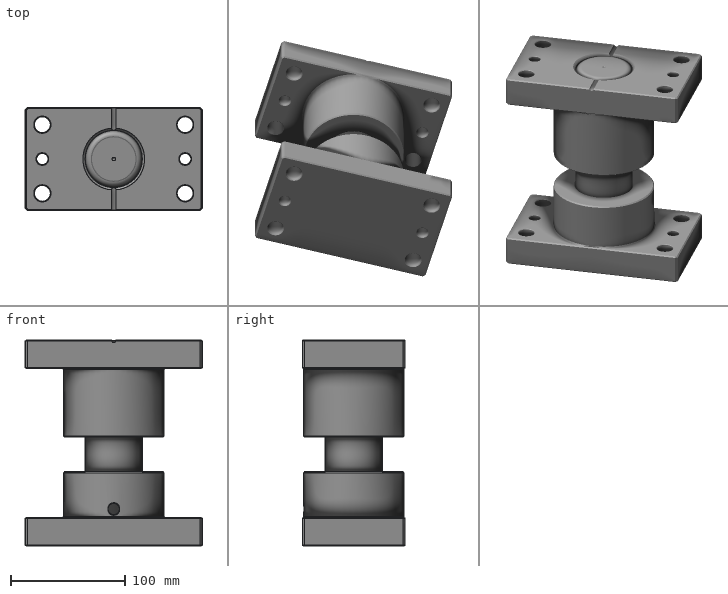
import cadquery as cq
import math

plate_length = 155.0
plate_width = 90.0
plate_thickness = 25.0
corner_chamfer = 2.0
edge_chamfer = 1.0

hole_spacing_x = 125.0
bolt_spacing_y = 60.0
bolt_hole_diameter = 14.0
dowel_hole_diameter = 10.0
hole_chamfer = 0.5

boss_diameter = 88.0
boss_edge_chamfer = 1.0
boss_root_fillet = 1.0
lower_boss_height = 40.0
upper_boss_height = 60.0

total_height = 180.29
upper_plate_bottom = total_height - plate_thickness
upper_boss_bottom = upper_plate_bottom - upper_boss_height
lower_block_top = plate_thickness + lower_boss_height

post_diameter = 50.0
post_height = 180.0
post_top_radius = 5.5
center_mark_diameter = 3.0
center_mark_depth = center_mark_diameter / 2
bore_mouth_chamfer = 1.0
top_mouth_chamfer = 2.0

cross_hole_diameter = 10.0
cross_hole_height = 32.4

groove_width = 4.0


def make_drill(diameter, length, start_chamfer, end_chamfer):
    """Cutter along +Z from the origin, flared at an end to chamfer the hole unless that chamfer is 0."""
    radius = diameter / 2
    drill = cq.Workplane("XY").circle(radius).extrude(length)
    for z, inward, chamfer in ((0, 1, start_chamfer), (length, -1, end_chamfer)):
        if chamfer > 0:
            flare = cq.Solid.makeCone(
                radius + chamfer, radius, chamfer, cq.Vector(0, 0, z), cq.Vector(0, 0, inward)
            )
            drill = drill.union(cq.Workplane(flare))
    return drill


def make_plate(bottom):
    plate = (
        cq.Workplane("XY")
        .workplane(offset=bottom)
        .rect(plate_length, plate_width)
        .extrude(plate_thickness)
        .edges("|Z")
        .chamfer(corner_chamfer)
        .faces("<Z or >Z")
        .edges()
        .chamfer(edge_chamfer)
    )
    hole_rows = [
        (bolt_hole_diameter, bolt_spacing_y / 2),
        (bolt_hole_diameter, -bolt_spacing_y / 2),
        (dowel_hole_diameter, 0),
    ]
    for diameter, y in hole_rows:
        drill = make_drill(diameter, plate_thickness, hole_chamfer, hole_chamfer)
        for x in (-hole_spacing_x / 2, hole_spacing_x / 2):
            plate = plate.cut(drill.translate((x, y, bottom)))
    return plate


def make_boss(root, height):
    """Boss from the plate face at height root, with a root fillet; a negative height hangs it below."""
    direction = math.copysign(1, height)
    radius = boss_diameter / 2
    boss = cq.Workplane("XY").workplane(offset=root).circle(radius).extrude(height)
    boss = boss.faces(">Z" if height > 0 else "<Z").edges().chamfer(boss_edge_chamfer)

    arc_inset = boss_root_fillet * (1 - math.sqrt(0.5))
    fillet_ring = (
        cq.Workplane("XZ")
        .moveTo(radius - boss_root_fillet, root)
        .lineTo(radius + boss_root_fillet, root)
        .threePointArc(
            (radius + arc_inset, root + direction * arc_inset),
            (radius, root + direction * boss_root_fillet),
        )
        .lineTo(radius - boss_root_fillet, root + direction * boss_root_fillet)
        .close()
        .revolve(360, (0, 0, 0), (0, 1, 0))
    )
    flat_width = plate_width - 2 * edge_chamfer
    flat_zone = cq.Workplane("XY").box(plate_length, flat_width, 2 * total_height)
    return boss.union(fillet_ring.intersect(flat_zone))


def make_lower_block():
    block = make_plate(0).union(make_boss(plate_thickness, lower_boss_height))
    bore = make_drill(post_diameter, lower_block_top, 0, bore_mouth_chamfer)
    cross_hole = (
        make_drill(cross_hole_diameter, boss_diameter / 2, 0, hole_chamfer)
        .rotate((0, 0, 0), (1, 0, 0), 90)
        .translate((0, 0, cross_hole_height))
    )
    return block.cut(bore).cut(cross_hole)


def make_upper_block():
    block = make_plate(upper_plate_bottom).union(make_boss(upper_plate_bottom, -upper_boss_height))
    bore_length = total_height - upper_boss_bottom
    bore = make_drill(post_diameter, bore_length, bore_mouth_chamfer, top_mouth_chamfer)
    groove = (
        cq.Workplane("XZ")
        .center(0, total_height)
        .circle(groove_width / 2)
        .extrude(plate_width / 2, both=True)
    )
    return block.cut(bore.translate((0, 0, upper_boss_bottom))).cut(groove)


def make_post():
    post = (
        cq.Workplane("XY")
        .circle(post_diameter / 2)
        .extrude(post_height)
        .faces(">Z")
        .edges()
        .fillet(post_top_radius)
    )
    center_mark = (
        cq.Workplane("XZ")
        .moveTo(0, post_height)
        .lineTo(center_mark_diameter / 2, post_height)
        .lineTo(0, post_height - center_mark_depth)
        .close()
        .revolve(360, (0, 0, 0), (0, 1, 0))
    )
    return post.cut(center_mark)


lower_block = make_lower_block()
upper_block = make_upper_block()
post = make_post()

result = cq.Compound.makeCompound([lower_block.val(), upper_block.val(), post.val()])